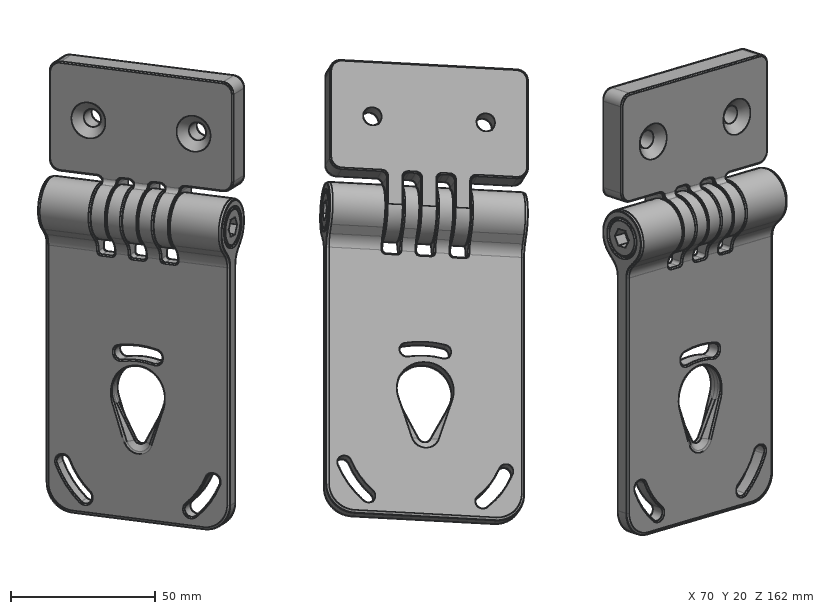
import cadquery as cq
import math

width = 70.0
barrel_radius = 10.0
upper_height = 52.0
lower_height = 110.0
edge_chamfer = 0.5
knuckle_chamfer = 0.3

knuckle_pitch = 6.0
knuckle_gap = 0.2
knuckle_width = knuckle_pitch - knuckle_gap
slot_width = knuckle_pitch + knuckle_gap
upper_knuckle_places = [-2 * knuckle_pitch, 0, 2 * knuckle_pitch]
upper_notch_places = [-knuckle_pitch, knuckle_pitch]
neck_width = 4 * knuckle_pitch + knuckle_width

bore_radius = 7.0
pin_radius = 6.8
hex_flats = 6.2
hex_depth = 4.9

upper_thickness = barrel_radius
upper_bottom = 12.3
upper_corner = 4.0
shoulder_radius = 2.0
notch_corner = 2.0
neck_fillet = 1.8
screw_x = 20.0
screw_z = 32.0
screw_diameter = 6.5
countersink_diameter = 13.0
countersink_angle = 90

lower_thickness = 5.3
lower_corner = 10.0
lower_fillet = 6.2
slot_end = 15.0
slot_corner = 1.3

keyhole_z = -64.0
keyhole_radius = 10.0
hanger_z = -80.0
hanger_mouth_radius = 5.0
hanger_waist_radius = 2.5
hanger_waist_length = 1.6
arc_radius = 31.0
arc_slot_radius = 2.51
top_arc_half_angle = 12.3
side_arc_half_angle = 13.3
side_arc_direction = 36


def x_cylinder(radius, length):
    return cq.Workplane("YZ").circle(radius).extrude(length / 2, both=True)


def block(size_x, y_from, y_to, z_from, z_to, x=0):
    size = (size_x, y_to - y_from, z_to - z_from)
    middle = (x, (y_from + y_to) / 2, (z_from + z_to) / 2)
    return cq.Workplane("XY").box(*size).translate(middle)


def notch_edges(plate, half_width):
    region = cq.selectors.BoxSelector(
        (-half_width, -1.6, upper_bottom - 0.2), (half_width, upper_thickness + 1.6, upper_bottom + 0.2))
    return plate.edges(region).edges("|Y")


def make_upper_plate():
    plate = block(width, 0, upper_thickness, upper_bottom, upper_height)
    plate = plate.edges("|Y").fillet(upper_corner)
    neck = block(neck_width, 0, upper_thickness, 0, upper_bottom + upper_corner)
    plate = plate.union(neck)
    for x in upper_notch_places:
        plate = plate.cut(block(slot_width, 0, upper_thickness, 0, upper_bottom, x))
    plate = notch_edges(plate, neck_width / 2 - 0.8).fillet(notch_corner)
    plate = notch_edges(plate, neck_width / 2 + 0.2).fillet(shoulder_radius)
    return plate.faces("<Y or >Y").chamfer(edge_chamfer)


def make_upper_knuckle(x):
    barrel = x_cylinder(barrel_radius, knuckle_width).edges().chamfer(knuckle_chamfer)
    return barrel.translate((x, 0, 0))


def make_neck_fillet(x):
    tangent_z = math.sqrt((barrel_radius + neck_fillet) ** 2 - neck_fillet ** 2)
    reach = barrel_radius / (barrel_radius + neck_fillet)
    turn = math.radians(40)
    middle = (neck_fillet * (math.cos(turn) - 1), tangent_z - neck_fillet * math.sin(turn))
    inside_y = 1.6
    inside_z = 8.1
    profile = (
        cq.Workplane("YZ").moveTo(inside_y, tangent_z).lineTo(0, tangent_z)
        .threePointArc(middle, (-neck_fillet * reach, tangent_z * reach))
        .lineTo(0, inside_z).lineTo(inside_y, inside_z).close()
    )
    return profile.extrude(knuckle_width / 2 - knuckle_chamfer, both=True).translate((x, 0, 0))


def cut_screw_hole(leaf, x):
    hole = cq.Workplane("XZ").center(x, screw_z).circle(screw_diameter / 2).extrude(-upper_thickness)
    depth = (countersink_diameter - screw_diameter) / 2 / math.tan(math.radians(countersink_angle / 2))
    sink = cq.Solid.makeCone(
        countersink_diameter / 2, screw_diameter / 2, depth,
        cq.Vector(x, 0, screw_z), cq.Vector(0, 1, 0))
    return leaf.cut(hole).cut(cq.Workplane(sink))


def make_pin():
    pin = x_cylinder(pin_radius, width).faces("<X or >X").chamfer(edge_chamfer)
    for side in (-1, 1):
        socket = (
            cq.Workplane("YZ").polygon(6, hex_flats / math.cos(math.pi / 6))
            .extrude(-side * hex_depth).translate((side * width / 2, 0, 0))
        )
        pin = pin.cut(socket)
    return pin


def make_upper_leaf():
    leaf = make_upper_plate()
    for x in upper_knuckle_places:
        leaf = leaf.union(make_upper_knuckle(x)).union(make_neck_fillet(x))
    for side in (-1, 1):
        leaf = cut_screw_hole(leaf, side * screw_x)
    return leaf.union(make_pin())


def make_lower_blank():
    half = lower_thickness / 2
    tangent = barrel_radius / math.sqrt(2)
    flank_end_z = half - 2 * tangent
    profile = (
        cq.Workplane("YZ").moveTo(half, -lower_height).lineTo(half, flank_end_z)
        .lineTo(tangent, -tangent)
        .threePointArc((barrel_radius, 0), (0, barrel_radius))
        .threePointArc((-barrel_radius, 0), (-tangent, -tangent))
        .lineTo(-half, flank_end_z).lineTo(-half, -lower_height).close()
    )
    blank = profile.extrude(width / 2, both=True)
    flank_ends = cq.selectors.BoxSelector(
        (-1.6, -half - 0.2, flank_end_z - 0.2), (1.6, half + 0.2, flank_end_z + 0.2))
    blank = blank.edges(flank_ends).fillet(lower_fillet)
    return blank.edges("|Y and <Z").fillet(lower_corner)


def chamfer_lower_outline(leaf):
    profile_edges = leaf.edges("not(|X or |Y)")
    foot_edges = leaf.edges("|X and <Z")
    slot_end_edges = leaf.edges("|X").edges(cq.selectors.BoxSelector(
        (-width, -lower_thickness, -slot_end - 0.2), (width, lower_thickness, -slot_end + 0.2)))
    return profile_edges.add(foot_edges).add(slot_end_edges).chamfer(edge_chamfer)


def polar_point(centre_z, radius, angle):
    return (radius * math.cos(math.radians(angle)), centre_z + radius * math.sin(math.radians(angle)))


def arc_slot(direction, half_angle):
    start, end = direction - half_angle, direction + half_angle
    outer = arc_radius + arc_slot_radius
    inner = arc_radius - arc_slot_radius
    profile = (
        cq.Workplane("XZ").moveTo(*polar_point(hanger_z, outer, start))
        .threePointArc(polar_point(hanger_z, outer, direction), polar_point(hanger_z, outer, end))
        .tangentArcPoint(polar_point(hanger_z, inner, end), relative=False)
        .threePointArc(polar_point(hanger_z, inner, direction), polar_point(hanger_z, inner, start))
        .tangentArcPoint(polar_point(hanger_z, outer, start), relative=False)
        .close()
    )
    return profile.extrude(lower_thickness, both=True)


def keyhole_outline(plane, small_radius):
    lean = math.degrees(math.asin((keyhole_radius - small_radius) / (keyhole_z - hanger_z)))
    big_right = polar_point(keyhole_z, keyhole_radius, -lean)
    small_right = polar_point(hanger_z, small_radius, -lean)
    return (
        plane.moveTo(*big_right)
        .threePointArc((0, keyhole_z + keyhole_radius), (-big_right[0], big_right[1]))
        .lineTo(-small_right[0], small_right[1])
        .threePointArc((0, hanger_z - small_radius), small_right)
        .close()
    )


def make_keyhole():
    waist = keyhole_outline(cq.Workplane("XZ"), hanger_waist_radius).extrude(hanger_waist_length / 2, both=True)
    face_y = lower_thickness / 2
    taper_depth = face_y - hanger_waist_length / 2
    mouth = cq.Workplane("XZ", origin=(0, -face_y, 0))
    wide = keyhole_outline(mouth, hanger_mouth_radius).workplane(offset=-taper_depth)
    front_taper = keyhole_outline(wide, hanger_waist_radius).loft(ruled=True)
    return waist.union(front_taper).union(front_taper.mirror("XZ"))


def chamfer_front_rims(leaf):
    front = -lower_thickness / 2
    margin = 3 * edge_chamfer
    region = cq.selectors.BoxSelector(
        (-width / 2 + margin, front - 0.02, -lower_height + margin),
        (width / 2 - margin, front + 0.02, keyhole_z / 2))
    return leaf.edges(region).chamfer(edge_chamfer)


def make_bore():
    bore = x_cylinder(bore_radius, width)
    mouth_radius = bore_radius + edge_chamfer
    for side in (-1, 1):
        mouth = cq.Solid.makeCone(
            mouth_radius, bore_radius, edge_chamfer,
            cq.Vector(side * width / 2, 0, 0), cq.Vector(-side, 0, 0))
        bore = bore.union(cq.Workplane(mouth))
    return bore


def make_lower_leaf():
    leaf = make_lower_blank()
    slot_reach = barrel_radius + 1.6
    for x in upper_knuckle_places:
        slot = block(slot_width, -slot_reach, slot_reach, -slot_end, slot_reach, x)
        leaf = leaf.cut(slot.edges("|Y and <Z").fillet(slot_corner))
    leaf = chamfer_lower_outline(leaf)
    openings = make_keyhole()
    for direction, half_angle in (
        (90, top_arc_half_angle),
        (-side_arc_direction, side_arc_half_angle),
        (180 + side_arc_direction, side_arc_half_angle),
    ):
        openings = openings.union(arc_slot(direction, half_angle))
    leaf = chamfer_front_rims(leaf.cut(openings))
    return leaf.cut(make_bore())


upper_leaf = make_upper_leaf()
lower_leaf = make_lower_leaf()
result = cq.Compound.makeCompound([upper_leaf.val(), lower_leaf.val()])